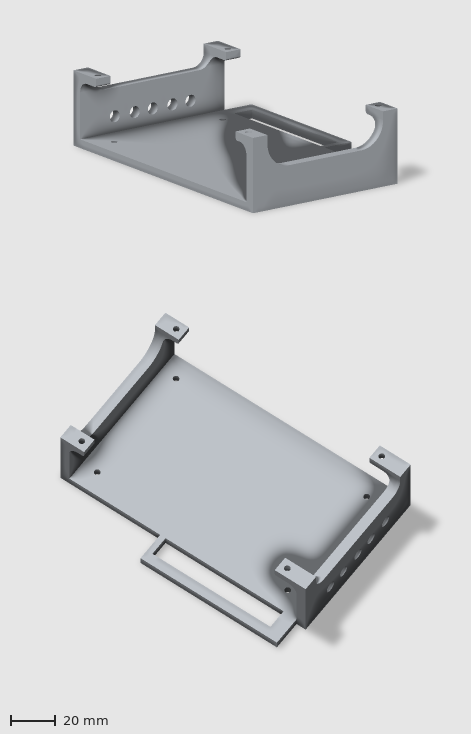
import cadquery as cq

LENGTH = 135.0
DEPTH = 80.0
HEIGHT = 35.0
WALL = 5.0
FLOOR = 4.0

TAB_THICKNESS = 4.0
LEFT_TAB_REACH = 17.0
RIGHT_TAB_REACH = 13.1
TAB_WIDTH = 8.0
GUSSET_RADIUS = 5.0
LEFT_TIP_RADIUS = 1.0
RIGHT_TIP_RADIUS = 1.2

LEFT_NOTCH_RADIUS = 6.1
RIGHT_NOTCH_RADIUS = 12.0

SCREW_DIAMETER = 3.0
LEFT_TAB_HOLE_INSET = 13.0
RIGHT_TAB_HOLE_INSET = 8.9
TAB_HOLE_END_INSET = 4.0
FLOOR_HOLE_INSET = 10.0

PORT_DIAMETER = 5.5
PORT_HEIGHT = 11.5
PORT_POSITIONS = [19.2, 30.2, 40.2, 51.2, 61.2]

HANDLE_DEPTH = 15.0
HANDLE_END = 80.0
HANDLE_LEFT_BAR = 7.2
HANDLE_RIGHT_BAR = 3.0
HANDLE_BACK_BAR = 5.0

TAB_UNDERSIDE = HEIGHT - TAB_THICKNESS


def box(x0, x1, y0, y1, z0, z1):
    """Box between the given limits along each axis."""
    return cq.Workplane("XY").box(x1 - x0, y1 - y0, z1 - z0, centered=False).translate((x0, y0, z0))


def make_tray():
    """Channel with inward lips at the top of both walls."""
    tray = box(0, LENGTH, 0, DEPTH, 0, HEIGHT)
    inside = box(WALL, LENGTH - WALL, 0, DEPTH, FLOOR, TAB_UNDERSIDE)
    inside = inside.edges("|Y and >Z").fillet(GUSSET_RADIUS)
    opening = box(LEFT_TAB_REACH, LENGTH - RIGHT_TAB_REACH, 0, DEPTH, TAB_UNDERSIDE, HEIGHT)
    tray = tray.cut(inside).cut(opening)
    for x, radius in [(LEFT_TAB_REACH, LEFT_TIP_RADIUS), (LENGTH - RIGHT_TAB_REACH, RIGHT_TIP_RADIUS)]:
        tip_edge = cq.selectors.NearestToPointSelector((x, DEPTH / 2, TAB_UNDERSIDE))
        tray = tray.edges(tip_edge).fillet(radius)
    return tray


def make_notch(x0, x1, radius):
    """Cutter that splits a lip into two tabs and lowers its wall with rounded corners."""
    notch = box(x0, x1, TAB_WIDTH, DEPTH - TAB_WIDTH, TAB_UNDERSIDE - radius, HEIGHT)
    return notch.edges("|X and <Z").fillet(radius)


def make_handle():
    """Flat loop joined to the back edge of the floor."""
    back = DEPTH + HANDLE_DEPTH
    loop = box(WALL, HANDLE_END, DEPTH, back, 0, FLOOR)
    window = box(
        WALL + HANDLE_LEFT_BAR, HANDLE_END - HANDLE_RIGHT_BAR,
        DEPTH, back - HANDLE_BACK_BAR, 0, FLOOR,
    )
    return loop.cut(window)


def make_screw_holes(x_positions, y_positions, z0, thickness):
    """Vertical screw holes at every pairing of the X and Y positions."""
    centres = [(x, y) for x in x_positions for y in y_positions]
    holes = cq.Workplane("XY", origin=(0, 0, z0)).pushPoints(centres)
    return holes.circle(SCREW_DIAMETER / 2).extrude(thickness)


def make_ports():
    """Row of cylinders crossing the left wall."""
    centres = [(y, PORT_HEIGHT) for y in PORT_POSITIONS]
    return cq.Workplane("YZ").pushPoints(centres).circle(PORT_DIAMETER / 2).extrude(WALL)


tab_holes = make_screw_holes(
    [LEFT_TAB_HOLE_INSET, LENGTH - RIGHT_TAB_HOLE_INSET],
    [TAB_HOLE_END_INSET, DEPTH - TAB_HOLE_END_INSET],
    TAB_UNDERSIDE - GUSSET_RADIUS, TAB_THICKNESS + GUSSET_RADIUS,
)
floor_holes = make_screw_holes(
    [LEFT_TAB_REACH, LENGTH - RIGHT_TAB_REACH],
    [FLOOR_HOLE_INSET, DEPTH - FLOOR_HOLE_INSET],
    0, FLOOR,
)

result = (
    make_tray()
    .cut(make_notch(0, LEFT_TAB_REACH, LEFT_NOTCH_RADIUS))
    .cut(make_notch(LENGTH - RIGHT_TAB_REACH, LENGTH, RIGHT_NOTCH_RADIUS))
    .cut(tab_holes)
    .cut(floor_holes)
    .cut(make_ports())
    .union(make_handle())
)